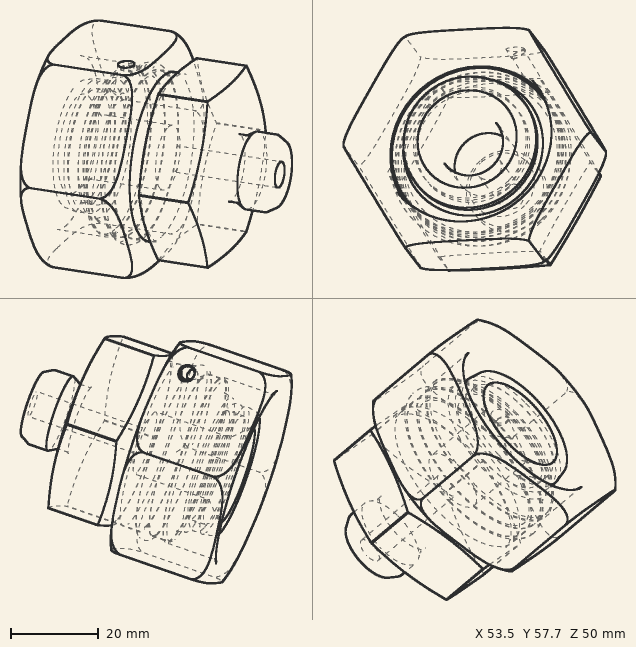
import cadquery as cq
import math

COLLAR_DIAMETER = 38.95
NUT_REAR_BORE = 39.25
COLLAR_FRONT_X = 13.1

NUT_FLATS = 50.0
NUT_LENGTH = 24.5
NUT_CORNER_DIAMETER = 57.75
NUT_CORNER_RADIUS = 4.0
NUT_THREAD_BORE = 40.0
NUT_STEP_X = 13.85
NUT_MOUTH_DEPTH = 1.2
NUT_MOUTH_HALF_ANGLE = 60.0
NUT_MOUTH_OUTER_BLEND = 2.0
NUT_MOUTH_INNER_BLEND = 1.25

WIRE_X = 19.0
WIRE_RING_RADIUS = 19.5
WIRE_DIAMETER = 3.2

HOLE_TILT = 30.0
HOLE_ENTRY_DIAMETER = 3.7
HOLE_STEP_DISTANCE = 16.2

CONE_TIP_X = 3.6
CONE_HALF_ANGLE = 12.0
CONE_TIP_RADIUS = 14.85
CONE_TIP_BLEND = 0.3
CONE_BASE_BLEND = 0.85
GROOVE_SETBACK = 3.0
GROOVE_WIDTH = 3.8
GROOVE_FLOOR_DIAMETER = 26.3

O_RING_THICKNESS = 2.25

FLANGE_FLATS = 41.0
FLANGE_CORNER_DIAMETER = 47.2
FLANGE_FACE_DIAMETER = 40.0
FLANGE_CHAMFER_ANGLE = 15.0
FLANGE_FRONT_X = 27.4
FLANGE_BACK_X = 41.5

FITTING_END_X = 53.5
NECK_DIAMETER = 15.6
STUB_DIAMETER = 18.0
STUB_FRONT_X = 46.7
STUB_BACK_X = 51.3
STUB_CONE_ANGLE = 30.0
NECK_BLEND = 1.0
STUB_END_BLEND = 0.35

BORE_MOUTH_DIAMETER = 23.1
FRONT_BORE = 15.0
THROUGH_BORE = 6.0
BORE_MOUTH_DEPTH = 4.05
FRONT_BORE_END_X = 26.0
DRILL_POINT_HALF_ANGLE = 68.0
FRONT_BORE_BLEND = 0.3
THROUGH_BORE_BLEND = 0.4


def tan_deg(angle):
    return math.tan(math.radians(angle))


def revolve_about_x(points):
    """Revolve a closed (x, radius) outline about the X axis."""
    return cq.Workplane("XY").polyline(points).close().revolve(360, (0, 0, 0), (1, 0, 0))


def disc(start_x, end_x, diameter):
    return cq.Workplane("YZ", origin=(start_x, 0, 0)).circle(diameter / 2).extrude(end_x - start_x)


def hexagon(start_x, end_x, flats):
    """Hexagonal bar along X with two flats facing up and down."""
    corners = flats / math.cos(math.pi / 6)
    return cq.Workplane("YZ", origin=(start_x, 0, 0)).polygon(6, corners).extrude(end_x - start_x)


def round_ring(centre_x, centre_radius, thickness):
    """Ring of round section around the X axis."""
    centre = cq.Vector(centre_x, 0, 0)
    return cq.Workplane(cq.Solid.makeTorus(centre_radius, thickness / 2, centre, cq.Vector(1, 0, 0)))


def ring_edge(x, radius):
    """Selector box around a circular edge at the given place on the X axis."""
    gap = 0.03
    reach = radius + gap
    return cq.selectors.BoxSelector((x - gap, -reach, -reach), (x + gap, reach, reach), boundingbox=True)


def make_nut():
    rounded_envelope = disc(0, NUT_LENGTH, NUT_CORNER_DIAMETER).edges().fillet(NUT_CORNER_RADIUS)
    body = hexagon(0, NUT_LENGTH, NUT_FLATS).intersect(rounded_envelope)
    return body.cut(nut_bore()).cut(nut_hole()).cut(make_wire())


def nut_bore():
    """Countersunk bore that steps down from the thread bore to the rear bore."""
    thread_radius = NUT_THREAD_BORE / 2
    rear_radius = NUT_REAR_BORE / 2
    mouth_radius = thread_radius + NUT_MOUTH_DEPTH * tan_deg(NUT_MOUTH_HALF_ANGLE)
    outer_radius = NUT_CORNER_DIAMETER / 2
    sleeve = revolve_about_x([
        (0, mouth_radius),
        (0, outer_radius),
        (NUT_LENGTH, outer_radius),
        (NUT_LENGTH, rear_radius),
        (NUT_STEP_X, rear_radius),
        (NUT_STEP_X, thread_radius),
        (NUT_MOUTH_DEPTH, thread_radius),
    ])
    sleeve = sleeve.edges(ring_edge(0, mouth_radius)).fillet(NUT_MOUTH_OUTER_BLEND)
    sleeve = sleeve.edges(ring_edge(NUT_MOUTH_DEPTH, thread_radius)).fillet(NUT_MOUTH_INNER_BLEND)
    return disc(0, NUT_LENGTH, NUT_CORNER_DIAMETER).cut(sleeve)


def nut_hole():
    """Stepped hole that starts where it is tangential to the wire ring and runs outward."""
    tilt = math.radians(HOLE_TILT)
    outward = cq.Vector(0, math.sin(tilt), math.cos(tilt))
    foot = cq.Vector(WIRE_X, -WIRE_RING_RADIUS * math.cos(tilt), WIRE_RING_RADIUS * math.sin(tilt))
    step = foot + outward * HOLE_STEP_DISTANCE
    hole = cq.Solid.makeCylinder(WIRE_DIAMETER / 2, NUT_CORNER_DIAMETER, foot, outward)
    entry = cq.Solid.makeCylinder(HOLE_ENTRY_DIAMETER / 2, NUT_CORNER_DIAMETER, step, outward)
    return cq.Workplane(hole).union(cq.Workplane(entry))


def make_fitting():
    return front_end().union(flange()).union(rear_stub()).cut(fitting_bore()).cut(make_wire())


def front_end():
    """Sealing cone and cylindrical collar, up to the front of the flange."""
    cone_base = CONE_TIP_RADIUS + (COLLAR_FRONT_X - CONE_TIP_X) * tan_deg(CONE_HALF_ANGLE)
    collar_radius = COLLAR_DIAMETER / 2
    flange_blend = (FLANGE_FACE_DIAMETER - COLLAR_DIAMETER) / 2
    body = revolve_about_x([
        (CONE_TIP_X, 0),
        (CONE_TIP_X, CONE_TIP_RADIUS),
        (COLLAR_FRONT_X, cone_base),
        (COLLAR_FRONT_X, collar_radius),
        (FLANGE_FRONT_X, collar_radius),
        (FLANGE_FRONT_X, FLANGE_FACE_DIAMETER / 2),
        (FLANGE_BACK_X, FLANGE_FACE_DIAMETER / 2),
        (FLANGE_BACK_X, 0),
    ])
    body = body.edges(ring_edge(CONE_TIP_X, CONE_TIP_RADIUS)).fillet(CONE_TIP_BLEND)
    body = body.edges(ring_edge(COLLAR_FRONT_X, cone_base)).fillet(CONE_BASE_BLEND)
    body = body.edges(ring_edge(FLANGE_FRONT_X, collar_radius)).fillet(flange_blend * 0.999)
    groove_front = CONE_TIP_X + GROOVE_SETBACK
    groove_back = groove_front + GROOVE_WIDTH
    groove = disc(groove_front, groove_back, COLLAR_DIAMETER)
    groove = groove.cut(disc(groove_front, groove_back, GROOVE_FLOOR_DIAMETER))
    return body.cut(groove)


def flange():
    face_radius = FLANGE_FACE_DIAMETER / 2
    corner_radius = FLANGE_CORNER_DIAMETER / 2
    chamfer_length = (corner_radius - face_radius) * tan_deg(FLANGE_CHAMFER_ANGLE)
    envelope = revolve_about_x([
        (FLANGE_FRONT_X, 0),
        (FLANGE_FRONT_X, face_radius),
        (FLANGE_FRONT_X + chamfer_length, corner_radius),
        (FLANGE_BACK_X - chamfer_length, corner_radius),
        (FLANGE_BACK_X, face_radius),
        (FLANGE_BACK_X, 0),
    ])
    return hexagon(FLANGE_FRONT_X, FLANGE_BACK_X, FLANGE_FLATS).intersect(envelope)


def rear_stub():
    neck_radius = NECK_DIAMETER / 2
    stub_radius = STUB_DIAMETER / 2
    cone_slope = tan_deg(STUB_CONE_ANGLE)
    neck_end_x = STUB_FRONT_X - (stub_radius - neck_radius) / cone_slope
    end_radius = stub_radius - (FITTING_END_X - STUB_BACK_X) * cone_slope
    body = revolve_about_x([
        (FLANGE_FRONT_X, 0),
        (FLANGE_FRONT_X, FLANGE_FACE_DIAMETER / 2),
        (FLANGE_BACK_X, FLANGE_FACE_DIAMETER / 2),
        (FLANGE_BACK_X, neck_radius),
        (neck_end_x, neck_radius),
        (STUB_FRONT_X, stub_radius),
        (STUB_BACK_X, stub_radius),
        (FITTING_END_X, end_radius),
        (FITTING_END_X, 0),
    ])
    for x in (FLANGE_BACK_X, neck_end_x):
        body = body.edges(ring_edge(x, neck_radius)).fillet(NECK_BLEND)
    body = body.edges(ring_edge(STUB_BACK_X, stub_radius)).fillet(STUB_END_BLEND)
    return body.edges(ring_edge(FITTING_END_X, end_radius)).fillet(STUB_END_BLEND)


def fitting_bore():
    """Wide mouth cone, front bore, conical end of the front bore and narrow through bore."""
    mouth_radius = BORE_MOUTH_DIAMETER / 2
    front_radius = FRONT_BORE / 2
    through_radius = THROUGH_BORE / 2
    mouth_end_x = CONE_TIP_X + BORE_MOUTH_DEPTH
    point_end_x = FRONT_BORE_END_X + (front_radius - through_radius) / tan_deg(DRILL_POINT_HALF_ANGLE)
    bore = revolve_about_x([
        (CONE_TIP_X, 0),
        (CONE_TIP_X, mouth_radius),
        (mouth_end_x, front_radius),
        (FRONT_BORE_END_X, front_radius),
        (point_end_x, through_radius),
        (FITTING_END_X, through_radius),
        (FITTING_END_X, 0),
    ])
    bore = bore.edges(ring_edge(mouth_end_x, front_radius)).fillet(FRONT_BORE_BLEND)
    return bore.edges(ring_edge(point_end_x, through_radius)).fillet(THROUGH_BORE_BLEND)


def make_o_ring():
    """Ring that touches the floor of the cone groove, midway along it."""
    centre_x = CONE_TIP_X + GROOVE_SETBACK + GROOVE_WIDTH / 2
    return round_ring(centre_x, (GROOVE_FLOOR_DIAMETER + O_RING_THICKNESS) / 2, O_RING_THICKNESS)


def make_wire():
    """Closed wire ring; the same shape forms its channel in the nut and the collar."""
    return round_ring(WIRE_X, WIRE_RING_RADIUS, WIRE_DIAMETER)


nut = make_nut()
fitting = make_fitting()
o_ring = make_o_ring()
wire = make_wire()
result = cq.Compound.makeCompound([nut.val(), fitting.val(), o_ring.val(), wire.val()])